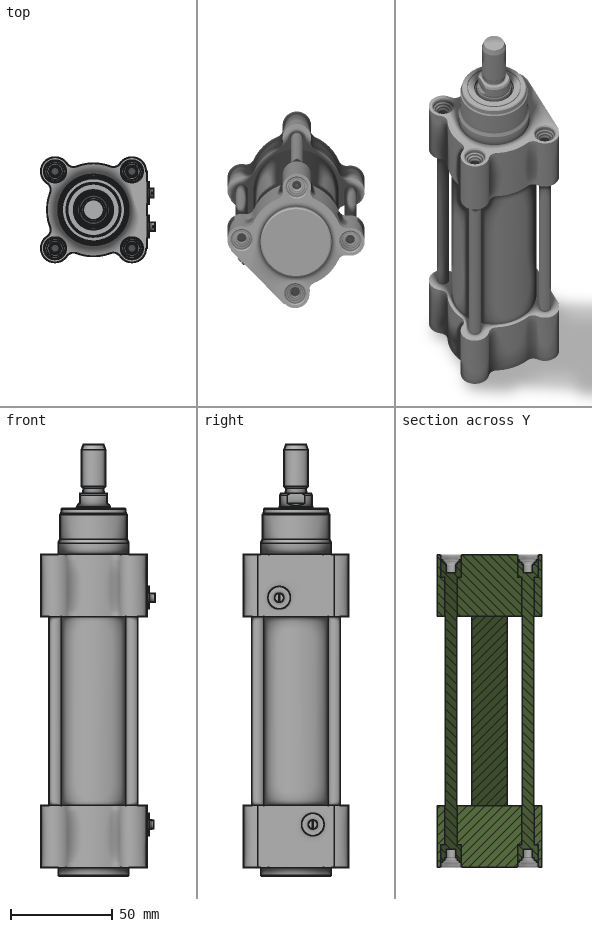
import cadquery as cq
import math

OVERALL_HEIGHT = 213.0

CAP_HEIGHT = 30.7
CORE_RADIUS = 23.0
HOLLOW_RADIUS = 4.0
BOSS_OFFSET = 19.0
BOSS_RADIUS = 7.0
FLAT_SIDE_X = 26.5
LOWER_CAP_BASE = 4.3
UPPER_CAP_BASE = 128.0
LOWER_CAP_TOP = LOWER_CAP_BASE + CAP_HEIGHT
UPPER_CAP_TOP = UPPER_CAP_BASE + CAP_HEIGHT

SPIGOT_DIAMETER = 35.0
SPIGOT_EDGE_CHAMFER = 0.6
SPIGOT_SHOULDER_Z = 164.2
COLLAR_DIAMETER = 33.2
COLLAR_BASE_Z = 166.1
COLLAR_STEP_Z = 178.3
RIM_BASE_DIAMETER = 32.2
RIM_BASE_Z = 179.0
RIM_TOP_DIAMETER = 31.7
RIM_CHAMFER = 0.5
COLLAR_TOP_Z = 181.5
RING_GROOVE_OUTER_DIAMETER = 26.8
RING_GROOVE_INNER_DIAMETER = 25.5
RING_GROOVE_DEPTH = 0.6

WIPER_RECESS_DIAMETER = 19.5
WIPER_RECESS_DEPTH = 2.1
WIPER_LIP_TOP_DIAMETER = 16.6
WIPER_LIP_BASE_DIAMETER = 17.9
WIPER_LIP_TOP_Z = 182.1

VALVE_OFFSET_Y = 8.3
VALVE_FROM_BARREL = 9.4
VALVE_DISC_DIAMETER = 11.0
VALVE_DISC_FACE_X = 27.5
VALVE_SCREW_DIAMETER = 4.5
UPPER_SCREW_END_X = 30.5
LOWER_SCREW_END_X = 29.8
SCREW_SLOT_WIDTH = 0.6
SCREW_SLOT_DEPTH = 1.0

BARREL_DIAMETER = 42.0

ROD_DIAMETER = 16.0
ROD_SHOULDER_Z = 189.0
ROD_SHOULDER_CHAMFER = 1.0
ROD_SHOULDER_DIAMETER = 14.7
FLAT_DISTANCE = 13.5
FLAT_BASE_Z = 184.0
NECK_DIAMETER = 10.0
NECK_BASE_DIAMETER = 10.6
NECK_TOP_Z = 191.3
THREAD_DIAMETER = 12.0
THREAD_BASE_Z = 192.3
TIP_DIAMETER = 10.0
TIP_CHAMFER_HEIGHT = 2.8

TIE_ROD_DIAMETER = 6.0
NUT_DIAMETER = 10.0
NUT_HEIGHT = 8.5
NUT_DEPTH = 2.5
SEAT_MOUTH_DIAMETER = 11.0
SEAT_MOUTH_DEPTH = 0.6
SOCKET_MOUTH_DIAMETER = 8.0
SOCKET_MOUTH_DEPTH = 1.0
SOCKET_DIAMETER = 6.0
SOCKET_DEPTH = 2.1
THREAD_HOLE_MOUTH_DIAMETER = 5.1
THREAD_HOLE_DIAMETER = 4.3
THREAD_HOLE_DEPTH = 6.4
NUT_TOP = UPPER_CAP_TOP - NUT_DEPTH
NUT_BASE = NUT_TOP - NUT_HEIGHT

CORNERS = [(x, y) for x in (-BOSS_OFFSET, BOSS_OFFSET) for y in (-BOSS_OFFSET, BOSS_OFFSET)]


def cylinder(diameter, bottom, top):
    return cq.Workplane("XY").workplane(offset=bottom).circle(diameter / 2).extrude(top - bottom)


def revolved(profile):
    """Solid turned about the Z axis from (radius, height) points."""
    return cq.Workplane("XZ").polyline(profile).close().revolve(360, (0, 0, 0), (0, 1, 0))


def cap_side():
    """Prism under one side of a cap: the core arc, faired into each boss by a tangent hollow."""
    boss_distance = BOSS_OFFSET * math.sqrt(2)
    centre_distance = CORE_RADIUS + HOLLOW_RADIUS
    centre_to_boss = BOSS_RADIUS + HOLLOW_RADIUS
    turn = math.acos(
        (centre_distance**2 + boss_distance**2 - centre_to_boss**2)
        / (2 * centre_distance * boss_distance)
    )
    core_angle = math.pi / 4 + turn
    centre_x = centre_distance * math.cos(core_angle)
    centre_y = centre_distance * math.sin(core_angle)
    boss_angle = math.atan2(BOSS_OFFSET - centre_y, BOSS_OFFSET - centre_x)

    def on_hollow(angle):
        return centre_x + HOLLOW_RADIUS * math.cos(angle), centre_y + HOLLOW_RADIUS * math.sin(angle)

    core_x, core_y = on_hollow(core_angle - math.pi)
    middle_x, middle_y = on_hollow((core_angle - math.pi + boss_angle) / 2)
    boss_x, boss_y = on_hollow(boss_angle)
    return (
        cq.Workplane("XY")
        .moveTo(0, 0)
        .lineTo(BOSS_OFFSET, BOSS_OFFSET)
        .lineTo(boss_x, boss_y)
        .threePointArc((middle_x, middle_y), (core_x, core_y))
        .threePointArc((0, CORE_RADIUS), (-core_x, core_y))
        .threePointArc((-middle_x, middle_y), (-boss_x, boss_y))
        .lineTo(-BOSS_OFFSET, BOSS_OFFSET)
        .close()
        .extrude(CAP_HEIGHT)
    )


def cap_block(base):
    block = cq.Workplane("XY").pushPoints(CORNERS).circle(BOSS_RADIUS).extrude(CAP_HEIGHT)
    for angle in (0, 90, 180):
        block = block.union(cap_side().rotate((0, 0, 0), (0, 0, 1), angle))
    flat_side = cq.Workplane("XY").box(
        FLAT_SIDE_X, 2 * BOSS_OFFSET, CAP_HEIGHT, centered=(False, True, False)
    )
    return block.union(flat_side).translate((0, 0, base))


def valve(y, z, screw_end):
    disc = cq.Workplane("YZ").circle(VALVE_DISC_DIAMETER / 2).extrude(VALVE_DISC_FACE_X)
    screw = cq.Workplane("YZ").circle(VALVE_SCREW_DIAMETER / 2).extrude(screw_end)
    slot = cq.Workplane("XY").box(2 * SCREW_SLOT_DEPTH, SCREW_SLOT_WIDTH, 2 * VALVE_SCREW_DIAMETER)
    screw = screw.cut(slot.translate((screw_end, 0, 0)))
    return disc.union(screw).translate((0, y, z))


def mirrored_turning(upper_profile):
    """Solid turned from a profile of its upper half, repeated below the tie rods' mid-height."""
    mid_sum = LOWER_CAP_BASE + UPPER_CAP_TOP
    lower_profile = [(radius, mid_sum - height) for radius, height in reversed(upper_profile)]
    return revolved(upper_profile + lower_profile)


def tie_rod():
    """Tie rod on the Z axis with a stepped, socketed nut at each end."""
    socket_step = NUT_TOP - SOCKET_MOUTH_DEPTH
    socket_floor = NUT_TOP - SOCKET_DEPTH
    thread_hole_floor = NUT_TOP - THREAD_HOLE_DEPTH
    thread_mouth_depth = (THREAD_HOLE_MOUTH_DIAMETER - THREAD_HOLE_DIAMETER) / 2
    return mirrored_turning(
        [
            (0, thread_hole_floor),
            (THREAD_HOLE_DIAMETER / 2, thread_hole_floor),
            (THREAD_HOLE_DIAMETER / 2, socket_floor - thread_mouth_depth),
            (THREAD_HOLE_MOUTH_DIAMETER / 2, socket_floor),
            (SOCKET_DIAMETER / 2, socket_floor),
            (SOCKET_DIAMETER / 2, socket_step),
            (SOCKET_MOUTH_DIAMETER / 2, socket_step),
            (SOCKET_MOUTH_DIAMETER / 2, NUT_TOP),
            (NUT_DIAMETER / 2, NUT_TOP),
            (NUT_DIAMETER / 2, NUT_BASE),
            (TIE_ROD_DIAMETER / 2, NUT_BASE),
        ]
    )


def tie_rod_space():
    """Tool that opens a cap corner for the tie rod, its nut and the tapered mouth of the nut seat."""
    return mirrored_turning(
        [
            (0, UPPER_CAP_TOP),
            (SEAT_MOUTH_DIAMETER / 2, UPPER_CAP_TOP),
            (NUT_DIAMETER / 2, UPPER_CAP_TOP - SEAT_MOUTH_DEPTH),
            (NUT_DIAMETER / 2, NUT_BASE),
            (TIE_ROD_DIAMETER / 2, NUT_BASE),
        ]
    )


def open_corners(cap):
    for x, y in CORNERS:
        cap = cap.cut(tie_rod_space().translate((x, y, 0)))
    return cap


def lower_cap():
    spigot = cylinder(SPIGOT_DIAMETER, 0, LOWER_CAP_BASE).faces("<Z").chamfer(SPIGOT_EDGE_CHAMFER)
    cap = cap_block(LOWER_CAP_BASE).union(spigot)
    cap = cap.union(valve(VALVE_OFFSET_Y, LOWER_CAP_TOP - VALVE_FROM_BARREL, LOWER_SCREW_END_X))
    return open_corners(cap)


def bearing_collar():
    collar = revolved(
        [
            (0, UPPER_CAP_TOP),
            (SPIGOT_DIAMETER / 2, UPPER_CAP_TOP),
            (SPIGOT_DIAMETER / 2, SPIGOT_SHOULDER_Z),
            (COLLAR_DIAMETER / 2, COLLAR_BASE_Z),
            (COLLAR_DIAMETER / 2, COLLAR_STEP_Z),
            (RIM_BASE_DIAMETER / 2, RIM_BASE_Z),
            (RIM_TOP_DIAMETER / 2, COLLAR_TOP_Z - RIM_CHAMFER),
            (RIM_TOP_DIAMETER / 2 - RIM_CHAMFER, COLLAR_TOP_Z),
            (0, COLLAR_TOP_Z),
        ]
    )
    groove_floor = COLLAR_TOP_Z - RING_GROOVE_DEPTH
    ring_groove = cylinder(RING_GROOVE_OUTER_DIAMETER, groove_floor, COLLAR_TOP_Z).cut(
        cylinder(RING_GROOVE_INNER_DIAMETER, groove_floor, COLLAR_TOP_Z)
    )
    recess_floor = COLLAR_TOP_Z - WIPER_RECESS_DEPTH
    wiper_recess = cylinder(WIPER_RECESS_DIAMETER, recess_floor, COLLAR_TOP_Z)
    wiper_lip = revolved(
        [
            (0, recess_floor),
            (WIPER_LIP_BASE_DIAMETER / 2, recess_floor),
            (WIPER_LIP_TOP_DIAMETER / 2, WIPER_LIP_TOP_Z),
            (0, WIPER_LIP_TOP_Z),
        ]
    )
    return collar.cut(ring_groove).cut(wiper_recess).union(wiper_lip)


def upper_cap():
    cap = cap_block(UPPER_CAP_BASE).union(bearing_collar())
    cap = cap.union(valve(-VALVE_OFFSET_Y, UPPER_CAP_BASE + VALVE_FROM_BARREL, UPPER_SCREW_END_X))
    rod_bore = cylinder(ROD_DIAMETER, UPPER_CAP_BASE, WIPER_LIP_TOP_Z)
    return open_corners(cap.cut(rod_bore))


def barrel():
    return cylinder(BARREL_DIAMETER, LOWER_CAP_TOP, UPPER_CAP_BASE)


def piston_rod():
    rod = revolved(
        [
            (0, UPPER_CAP_BASE),
            (ROD_DIAMETER / 2, UPPER_CAP_BASE),
            (ROD_DIAMETER / 2, ROD_SHOULDER_Z - ROD_SHOULDER_CHAMFER),
            (ROD_SHOULDER_DIAMETER / 2, ROD_SHOULDER_Z),
            (NECK_BASE_DIAMETER / 2, ROD_SHOULDER_Z),
            (NECK_DIAMETER / 2, NECK_TOP_Z),
            (THREAD_DIAMETER / 2, THREAD_BASE_Z),
            (THREAD_DIAMETER / 2, OVERALL_HEIGHT - TIP_CHAMFER_HEIGHT),
            (TIP_DIAMETER / 2, OVERALL_HEIGHT),
            (0, OVERALL_HEIGHT),
        ]
    )
    ledge_reach = (ROD_DIAMETER - FLAT_DISTANCE) / 2
    flat_cutter = (
        cq.Workplane("XZ")
        .moveTo(FLAT_DISTANCE / 2, FLAT_BASE_Z)
        .lineTo(FLAT_DISTANCE / 2 + ledge_reach, FLAT_BASE_Z - ledge_reach)
        .lineTo(FLAT_DISTANCE / 2 + ledge_reach, ROD_SHOULDER_Z)
        .lineTo(FLAT_DISTANCE / 2, ROD_SHOULDER_Z)
        .close()
        .extrude(ROD_DIAMETER / 2, both=True)
    )
    return rod.cut(flat_cutter).cut(flat_cutter.mirror("YZ"))


tie_rods = [tie_rod().translate((x, y, 0)) for x, y in CORNERS]

result = cq.Compound.makeCompound(
    [
        lower_cap().val(),
        upper_cap().val(),
        barrel().val(),
        piston_rod().val(),
        *[rod.val() for rod in tie_rods],
    ]
)